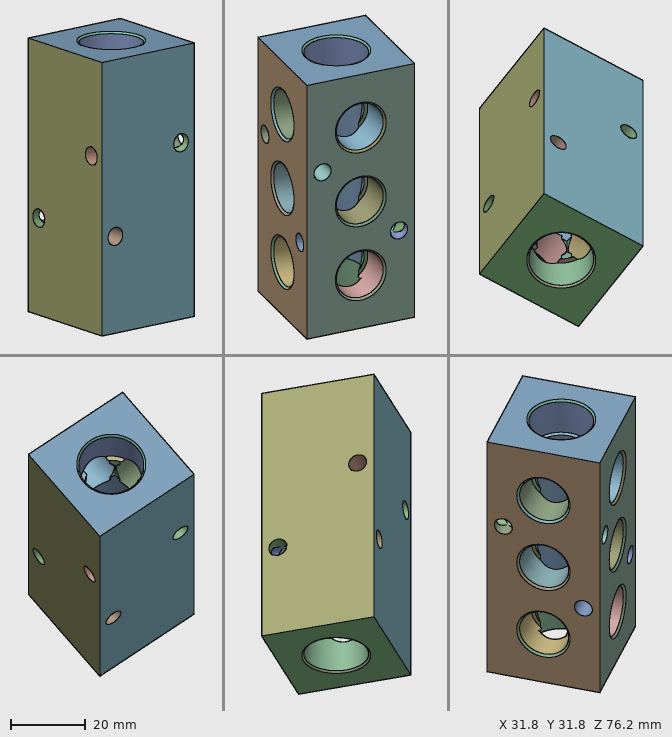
import cadquery as cq

width = 31.8
height = 76.2

bore_diameter = 14.2
end_port_mouth = 18.5
end_port_diameter = 17.45
end_port_depth = 10.4

port_spacing = 22.2
port_count = 3
port_mouth = 15.0
port_diameter = 13.8
port_depth = 10.0
port_drill_diameter = 11.05

taper = 1 / 16

mount_diameter = 5.0
mount_offset = 11.3
mount_height = port_spacing / 2


def tapered_port(mouth, diameter, depth):
    """Cutter entering along +Z from the origin: 45 degree chamfer, then a taper to a flat floor."""
    mouth_radius = mouth / 2
    top_radius = diameter / 2
    chamfer = mouth_radius - top_radius
    floor_radius = top_radius - taper * (depth - chamfer) / 2
    return (
        cq.Workplane("XZ")
        .moveTo(0, 0)
        .lineTo(mouth_radius, 0)
        .lineTo(top_radius, chamfer)
        .lineTo(floor_radius, depth)
        .lineTo(0, depth)
        .close()
        .revolve(360, (0, 0, 0), (0, 1, 0))
    )


def side_port():
    """Side port cutter with a drill that reaches the axis of the vertical bore."""
    drill = cq.Workplane("XY").circle(port_drill_diameter / 2).extrude(width / 2)
    return tapered_port(port_mouth, port_diameter, port_depth).union(drill)


def mounting_hole(plane, across, z):
    """Hole through the whole block, normal to the given plane."""
    return cq.Workplane(plane).center(across, z).circle(mount_diameter / 2).extrude(width, both=True)


result = cq.Workplane("XY").box(width, width, height)

result = result.cut(cq.Workplane("XY").circle(bore_diameter / 2).extrude(height, both=True))
bottom_port = tapered_port(end_port_mouth, end_port_diameter, end_port_depth).translate((0, 0, -height / 2))
result = result.cut(bottom_port).cut(bottom_port.mirror("XY"))

port_from_left = side_port().rotate((0, 0, 0), (0, 1, 0), 90).translate((-width / 2, 0, 0))
port_from_back = port_from_left.rotate((0, 0, 0), (0, 0, 1), -90)
for index in range(port_count):
    z = (index - (port_count - 1) / 2) * port_spacing
    result = result.cut(port_from_left.translate((0, 0, z)))
    result = result.cut(port_from_back.translate((0, 0, z)))

for plane in ("XZ", "YZ"):
    for side in (-1, 1):
        result = result.cut(mounting_hole(plane, side * mount_offset, side * mount_height))